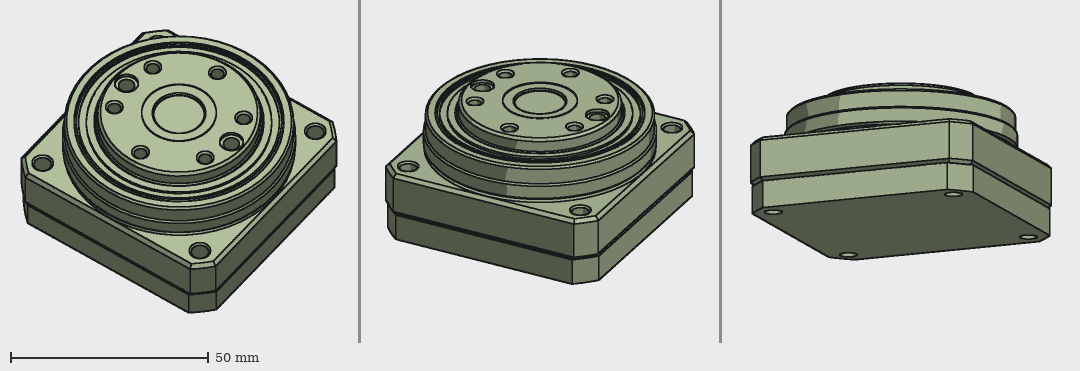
import cadquery as cq
import math

block_side = 61.0
block_corner_radius = 40.0
block_edge_chamfer = 1.0
base_side = 60.6
base_corner_radius = 39.45
base_height = 7.0
block_top = 18.55

barrel_top = 28.4
barrel_radius = 29.05
barrel_top_chamfer = 0.55
collar_radius = 29.5
collar_top = 23.25
collar_bottom = 19.75
collar_chamfer = collar_radius - barrel_radius
neck_radius = 28.9
neck_foot_radius = 29.4

vee_outer_radius = 26.6
vee_root_radius = 26.4
vee_inner_radius = 26.0
channel_outer_radius = 25.45
channel_inner_radius = 23.5
channel_depth = 0.6

recess_radius = 21.3
recess_chamfer = 0.25
recess_floor = block_top

mount_pitch = 49.4
mount_hole_radius = 2.2
mount_chamfer = 0.5

flange_top = 32.0
flange_radius = 20.6
flange_edge_chamfer = 0.75
shoulder_radius = 21.05
shoulder_chamfer = shoulder_radius - flange_radius
hub_recess_radius = 9.45
hub_recess_depth = 0.25
hub_hole_radius = 6.4
hub_hole_chamfer = 0.35
hub_hole_depth = 0.6

bolt_circle_radius = 16.5
tap_count = 6
first_tap_angle = 180 / tap_count
tap_radius = 1.65
tap_chamfer = 0.55
tap_depth = 7.3
pin_count = 2
first_pin_angle = 0
pin_radius = 2.0
pin_depth = 7.3
pin_counterbore_radius = 3.0
pin_counterbore_depth = 0.85
drill_point_angle = 118.0


def turned(points):
    """Revolve a closed (radius, height) outline about the Z axis."""
    return cq.Workplane("XZ").polyline(points).close().revolve(360, (0, 0, 0), (0, 1, 0))


def rounded_square(side, corner_radius, bottom, top):
    """Square prism whose corners are turned to a radius about the Z axis."""
    height = top - bottom
    square = cq.Workplane("XY").workplane(offset=bottom).rect(side, side).extrude(height)
    disc = cq.Workplane("XY").workplane(offset=bottom).circle(corner_radius).extrude(height)
    return square.intersect(disc)


def countersunk_hole(radius, chamfer, top, bottom):
    """Cutter for a flat-bottomed hole with a 45 degree chamfer at its mouth."""
    return turned([
        (0, top),
        (radius + chamfer, top),
        (radius, top - chamfer),
        (radius, bottom),
        (0, bottom),
    ])


def drill_point(radius, base):
    """Conical tip that ends a drilled hole, pointing down from its base height."""
    tip_height = radius / math.tan(math.radians(drill_point_angle / 2))
    return turned([(0, base), (radius, base), (0, base - tip_height)])


def make_barrel():
    neck_height = collar_bottom - (collar_radius - neck_radius)
    return turned([
        (0, block_top),
        (neck_foot_radius, block_top),
        (neck_radius, neck_height),
        (collar_radius, collar_bottom),
        (collar_radius, collar_top),
        (barrel_radius, collar_top + collar_chamfer),
        (barrel_radius, barrel_top - barrel_top_chamfer),
        (barrel_radius - barrel_top_chamfer, barrel_top),
        (0, barrel_top),
    ])


def make_top_grooves():
    vee_depth = vee_root_radius - vee_inner_radius
    channel_floor = barrel_top - channel_depth
    vee = turned([
        (vee_inner_radius, barrel_top),
        (vee_outer_radius, barrel_top),
        (vee_root_radius, barrel_top - vee_depth),
    ])
    channel = turned([
        (channel_inner_radius, barrel_top),
        (channel_outer_radius, barrel_top),
        (channel_outer_radius, channel_floor),
        (channel_inner_radius, channel_floor),
    ])
    return vee.union(channel)


def make_housing():
    base = rounded_square(base_side, base_corner_radius, 0, base_height)
    block = rounded_square(block_side, block_corner_radius, base_height, block_top)
    block = block.faces("<Z or >Z").edges().chamfer(block_edge_chamfer)
    housing = base.union(block).union(make_barrel()).cut(make_top_grooves())
    housing = housing.cut(countersunk_hole(recess_radius, recess_chamfer, barrel_top, recess_floor))
    mount_hole = countersunk_hole(mount_hole_radius, mount_chamfer, block_top, 0)
    for x in (-mount_pitch / 2, mount_pitch / 2):
        for y in (-mount_pitch / 2, mount_pitch / 2):
            housing = housing.cut(mount_hole.translate((x, y, 0)))
    return housing


def make_flange_blank():
    return turned([
        (0, recess_floor),
        (shoulder_radius, recess_floor),
        (shoulder_radius, barrel_top - shoulder_chamfer),
        (flange_radius, barrel_top),
        (flange_radius, flange_top - flange_edge_chamfer),
        (flange_radius - flange_edge_chamfer, flange_top),
        (0, flange_top),
    ])


def make_hub_recess():
    hub_face = flange_top - hub_recess_depth
    recess = cq.Workplane("XY").workplane(offset=hub_face).circle(hub_recess_radius).extrude(hub_recess_depth)
    hole = countersunk_hole(hub_hole_radius, hub_hole_chamfer, hub_face, hub_face - hub_hole_depth)
    return recess.union(hole)


def make_tap_hole():
    bottom = flange_top - tap_depth
    hole = countersunk_hole(tap_radius, tap_chamfer, flange_top, bottom)
    return hole.union(drill_point(tap_radius, bottom))


def make_pin_hole():
    seat = flange_top - pin_counterbore_depth
    bottom = flange_top - pin_depth
    hole = turned([
        (0, flange_top),
        (pin_counterbore_radius, flange_top),
        (pin_counterbore_radius, seat),
        (pin_radius, seat),
        (pin_radius, bottom),
        (0, bottom),
    ])
    return hole.union(drill_point(pin_radius, bottom))


def cut_around_bolt_circle(body, cutter, count, start_angle):
    """Cut equally spaced copies of a cutter around the bolt circle."""
    at_circle = cutter.translate((bolt_circle_radius, 0, 0))
    for i in range(count):
        angle = start_angle + i * 360 / count
        body = body.cut(at_circle.rotate((0, 0, 0), (0, 0, 1), angle))
    return body


def make_output_flange():
    flange = make_flange_blank().cut(make_hub_recess())
    flange = cut_around_bolt_circle(flange, make_tap_hole(), tap_count, first_tap_angle)
    return cut_around_bolt_circle(flange, make_pin_hole(), pin_count, first_pin_angle)


housing = make_housing()
output_flange = make_output_flange()

result = cq.Compound.makeCompound([housing.val(), output_flange.val()])